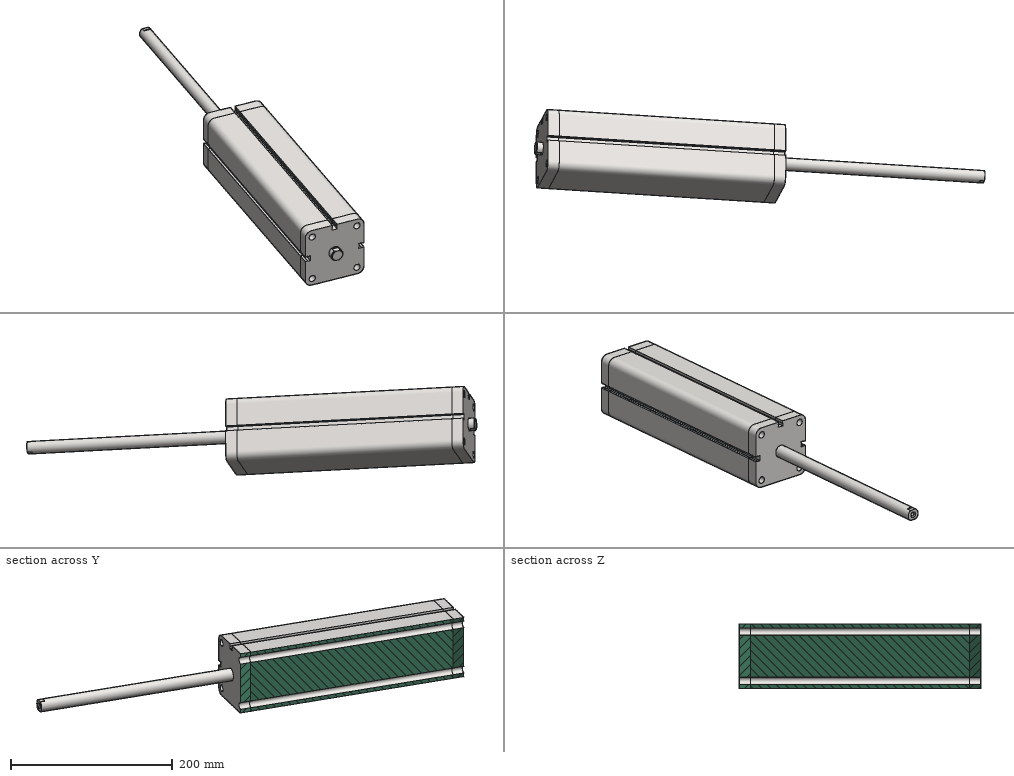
import cadquery as cq

total_length = 565.0
body_start = 257.0
rear_stub = 8.5
cap_thickness = 14.0
body_end = total_length - rear_stub
tube_start = body_start + cap_thickness
tube_end = body_end - cap_thickness

side = 80.0
corner_radius = 9.0
slot_mouth = 6.0
slot_inner_width = 7.0
slot_lip = 3.5
slot_depth = 7.0
slot_angles = (-90, 0, 90)
hole_spacing = 61.0
hole_diameter = 8.5

rod_diameter = 16.0
flat_spacing = 13.5
tip_flat_length = 5.5
rear_collar_length = 1.5
rear_chamfer = 1.0

center_hole_mouth_diameter = 7.5
center_hole_diameter = 4.5
center_hole_depth = 11.5


def slot_cutter(start, length, angle):
    """T-slot running along X in the top face, turned about the X axis."""
    top = side / 2
    mouth = cq.Workplane("XY").box(length, slot_mouth, slot_depth, centered=(False, True, False))
    inner_height = slot_depth - slot_lip
    inner = cq.Workplane("XY").box(length, slot_inner_width, inner_height, centered=(False, True, False))
    slot = mouth.union(inner).translate((start, 0, top - slot_depth))
    return slot.rotate((0, 0, 0), (1, 0, 0), angle)


def square_section(start, end):
    """Length of slotted square profile with a rod bore and four corner holes."""
    length = end - start
    section = (
        cq.Workplane("YZ", origin=(start, 0, 0))
        .rect(side, side)
        .extrude(length)
        .edges("|X")
        .fillet(corner_radius)
    )
    section = (
        section.faces("<X")
        .workplane(origin=(start, 0, 0))
        .rect(hole_spacing, hole_spacing, forConstruction=True)
        .vertices()
        .hole(hole_diameter)
    )
    bore = cq.Workplane("YZ", origin=(start, 0, 0)).circle(rod_diameter / 2).extrude(length)
    section = section.cut(bore)
    for angle in slot_angles:
        section = section.cut(slot_cutter(start, length, angle))
    return section


def flat_cutter(start, length):
    """Pair of blocks that leave two flats, facing +Z and -Z, on the rod."""
    slab = cq.Workplane("XY").box(length, rod_diameter, rod_diameter, centered=(False, True, False))
    upper = slab.translate((start, 0, flat_spacing / 2))
    return upper.union(upper.mirror("XY"))


def center_hole_cutter():
    """Center-drilled hole on the X axis: 90 degree countersink, straight bore and 90 degree point."""
    mouth_radius = center_hole_mouth_diameter / 2
    bore_radius = center_hole_diameter / 2
    return (
        cq.Workplane("XY")
        .moveTo(0, 0)
        .lineTo(0, mouth_radius)
        .lineTo(mouth_radius - bore_radius, bore_radius)
        .lineTo(center_hole_depth - bore_radius, bore_radius)
        .lineTo(center_hole_depth, 0)
        .close()
        .revolve(axisStart=(0, 0, 0), axisEnd=(1, 0, 0))
    )


def make_rod():
    """Rod through the whole unit, with flats at both ends and a center hole in the tip."""
    rod = cq.Workplane("YZ").circle(rod_diameter / 2).extrude(total_length)
    rod = rod.faces(">X").chamfer(rear_chamfer)
    rod = rod.cut(flat_cutter(0, tip_flat_length))
    rod = rod.cut(flat_cutter(body_end + rear_collar_length, rear_stub - rear_collar_length))
    return rod.cut(center_hole_cutter())


front_cap = square_section(body_start, tube_start)
tube = square_section(tube_start, tube_end)
rear_cap = square_section(tube_end, body_end)
rod = make_rod()

result = cq.Compound.makeCompound([front_cap.val(), tube.val(), rear_cap.val(), rod.val()])